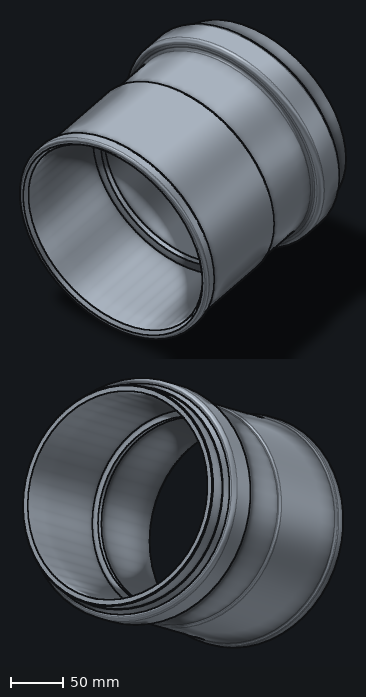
import cadquery as cq

length = 229.0

rim_diameter = 225.0
socket_diameter = 219.0
tube_diameter = 213.7
bell_diameter = 234.8
cone_large_diameter = 223.0
cone_small_diameter = 215.3

rim_end = 11.7
socket_end = 111.3
bell_start = 174.0
bell_end = 206.0
cone_end = 211.8

mouth_diameter = 213.7
socket_bore = 207.3
stop_bore = 188.5
spigot_bore = 201.5
mouth_chamfer_length = 4.0
stop_start = 106.4
stop_thickness = 6.0

rim_round = 2.8
rim_back_round = 1.0
root_round = 1.9
step_round = 1.9
step_root_round = 0.7
bell_front_round = 5.0
bell_back_round = 4.0
bell_root_round = 2.8
spigot_chamfer = 1.0


def revolve_profile(points):
    """Revolve (radius, axial distance) points about the Y axis."""
    return cq.Workplane("XY").polyline(points).close().revolve(360, (0, 0), (0, 1))


def circle_at(solid, diameter, distance):
    """Select the circular edge of the given diameter and axial distance."""
    tolerance = 0.02

    def matches(edge):
        right_size = abs(edge.radius() - diameter / 2) < tolerance
        right_place = abs(edge.Center().y - distance) < tolerance
        return right_size and right_place

    return solid.edges("%CIRCLE").filter(matches)


def make_outer_body():
    body = revolve_profile([
        (0, 0),
        (rim_diameter / 2, 0),
        (rim_diameter / 2, rim_end),
        (socket_diameter / 2, rim_end),
        (socket_diameter / 2, socket_end),
        (tube_diameter / 2, socket_end),
        (tube_diameter / 2, bell_start),
        (bell_diameter / 2, bell_start),
        (bell_diameter / 2, bell_end),
        (cone_large_diameter / 2, bell_end),
        (cone_small_diameter / 2, cone_end),
        (tube_diameter / 2, cone_end),
        (tube_diameter / 2, length),
        (0, length),
    ])
    rounded_edges = [
        (rim_diameter, 0, rim_round),
        (rim_diameter, rim_end, rim_back_round),
        (socket_diameter, rim_end, root_round),
        (socket_diameter, socket_end, step_round),
        (tube_diameter, socket_end, step_root_round),
        (bell_diameter, bell_start, bell_front_round),
        (bell_diameter, bell_end, bell_back_round),
        (tube_diameter, bell_start, bell_root_round),
    ]
    for diameter, distance, radius in rounded_edges:
        body = circle_at(body, diameter, distance).fillet(radius)
    return circle_at(body, tube_diameter, length).chamfer(spigot_chamfer)


def make_bore():
    stop_end = stop_start + stop_thickness
    return revolve_profile([
        (0, 0),
        (mouth_diameter / 2, 0),
        (socket_bore / 2, mouth_chamfer_length),
        (socket_bore / 2, stop_start),
        (stop_bore / 2, stop_start),
        (stop_bore / 2, stop_end),
        (spigot_bore / 2, stop_end),
        (spigot_bore / 2, length),
        (0, length),
    ])


result = make_outer_body().cut(make_bore()).translate((0, -length / 2, 0))